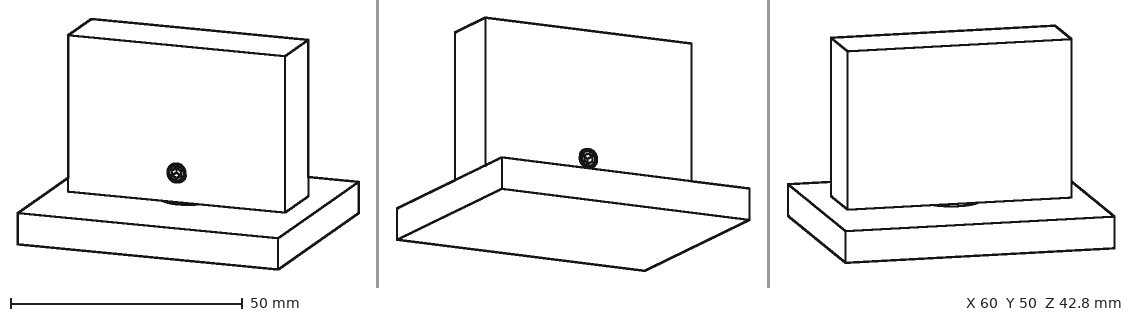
import cadquery as cq
import math

base_length = 60.0
base_width = 50.0
base_thickness = 7.0

neck_diameter = 12.5
neck_height = 0.8

block_length = base_width
block_width = 14.5
block_height = 35.0
block_bottom = base_thickness + neck_height
block_front = -block_width / 2

screw_rise = 6.5
screw_height = block_bottom + screw_rise
hole_diameter = 4.2
screw_diameter = 3.8
screw_chamfer = 0.25
groove_depth = 0.5
socket_sides = 6
socket_across_flats = 2.0
socket_depth = 2.5


def make_base():
    return cq.Workplane("XY").box(
        base_length, base_width, base_thickness, centered=(True, True, False)
    )


def make_neck():
    return cq.Workplane("XY").workplane(offset=base_thickness).circle(neck_diameter / 2).extrude(neck_height)


def make_block():
    underside = cq.Workplane("XY").workplane(offset=block_bottom)
    return underside.rect(block_length, block_width).extrude(block_height)


def front_plane():
    """Sketch plane on the block's front face at the screw axis, normal pointing out of the block."""
    return cq.Workplane("XZ", origin=(0, block_front, screw_height))


def make_screw_groove():
    """Ring left open between the screw hole and the chamfered end of the screw."""
    hole = front_plane().circle(hole_diameter / 2).extrude(-groove_depth)
    screw_end = front_plane().circle(screw_diameter / 2).extrude(-groove_depth)
    return hole.cut(screw_end.faces("<Y").chamfer(screw_chamfer))


def make_screw_socket():
    """Hexagonal socket with corners pointing up and down."""
    corner_direction = 90
    across_corners = socket_across_flats / math.cos(math.pi / socket_sides)
    turned_plane = front_plane().transformed(rotate=(0, 0, corner_direction))
    return turned_plane.polygon(socket_sides, across_corners).extrude(-socket_depth)


result = (
    make_base()
    .union(make_neck())
    .union(make_block())
    .cut(make_screw_groove())
    .cut(make_screw_socket())
)